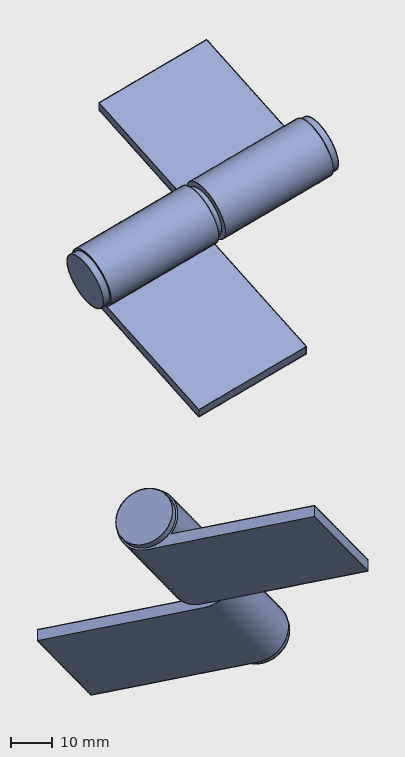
import cadquery as cq

SPAN = 88.0
TOTAL_LENGTH = 70.0
KNUCKLE_DIAMETER = 16.0
LEAF_LENGTH = 32.0
PLATE_THICKNESS = 3.0
WASHER_DIAMETER = 14.0
WASHER_THICKNESS = 2.0
CAP_DIAMETER = 15.0

KNUCKLE_RADIUS = KNUCKLE_DIAMETER / 2
PLATE_REACH = SPAN / 2
LEAF_START = WASHER_THICKNESS / 2
LEAF_END = LEAF_START + LEAF_LENGTH
CAP_THICKNESS = TOTAL_LENGTH / 2 - LEAF_END
WASHER_EDGE_RADIUS = WASHER_THICKNESS / 2
WASHER_FLAT_RADIUS = WASHER_DIAMETER / 2 - WASHER_EDGE_RADIUS


def disc(diameter, length, start_y):
    """Solid cylinder on the hinge axis, extending from start_y toward +Y."""
    return (
        cq.Workplane("XZ", origin=(0, start_y, 0))
        .circle(diameter / 2)
        .extrude(-length)
    )


def make_leaf():
    """Knuckle with a plate toward +X whose underside is tangent to the knuckle."""
    start_y = -LEAF_END
    knuckle = disc(KNUCKLE_DIAMETER, LEAF_LENGTH, start_y)
    plate = cq.Workplane("XY").box(
        PLATE_REACH, LEAF_LENGTH, PLATE_THICKNESS, centered=False
    ).translate((0, start_y, -KNUCKLE_RADIUS))
    return knuckle.union(plate).solids()


def make_washer():
    """Spacer disc with a fully rounded rim, revolved about the hinge axis."""
    half_thickness = WASHER_THICKNESS / 2
    return (
        cq.Workplane("XY")
        .moveTo(0, -half_thickness)
        .lineTo(WASHER_FLAT_RADIUS, -half_thickness)
        .threePointArc((WASHER_DIAMETER / 2, 0), (WASHER_FLAT_RADIUS, half_thickness))
        .lineTo(0, half_thickness)
        .close()
        .revolve(360, (0, 0, 0), (0, 1, 0))
    )


def make_cap(start_y):
    """Flat end cap against the outer end of a knuckle."""
    return disc(CAP_DIAMETER, CAP_THICKNESS, start_y)


leaves = [
    make_leaf().rotate((0, 0, 0), (0, 0, 1), angle)
    for angle in (0, 180)
]
caps = [
    make_cap(start_y)
    for start_y in (-TOTAL_LENGTH / 2, LEAF_END)
]
washer = make_washer()

result = cq.Compound.makeCompound(
    [body.val() for body in leaves + caps] + [washer.val()]
)